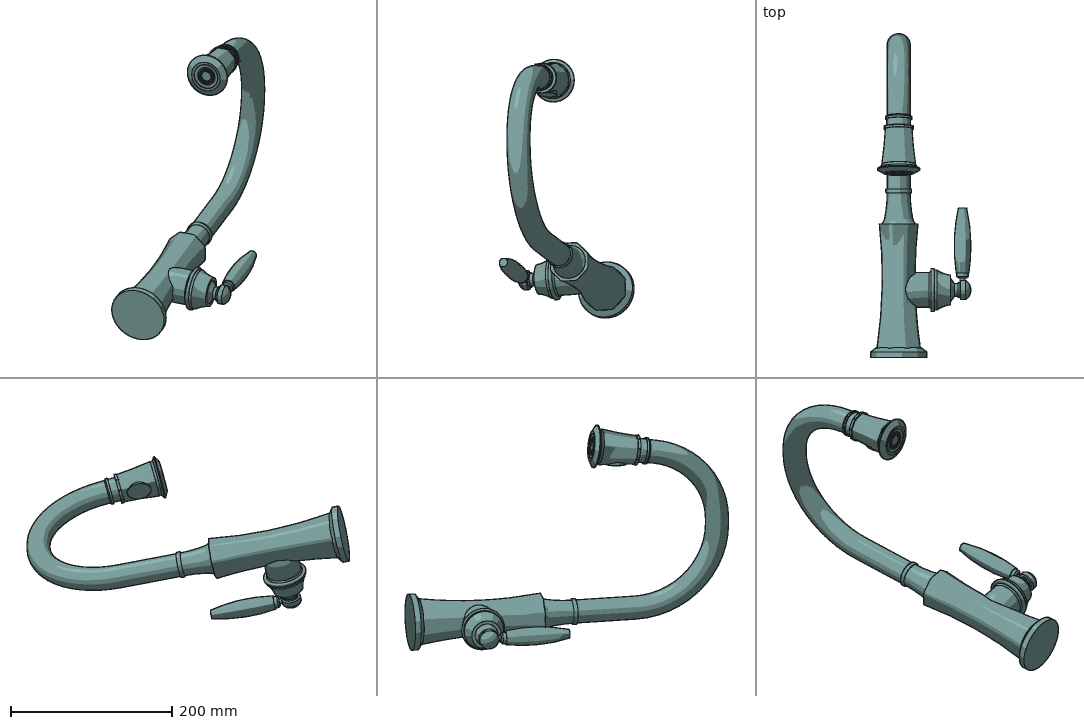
import cadquery as cq
import math


FACETS = 8
FACET_REACH = 80.5
EDGE_END_MARGIN = 0.5

BASE_RADIUS = 35.0
BASE_THICKNESS = 7.2
COLUMN_START = 12.5
COLUMN_END = 166.0
COLUMN_WAIST = 98.5
COLUMN_START_APOTHEM = 27.7
COLUMN_WAIST_APOTHEM = 20.5
COLUMN_END_APOTHEM = 24.0
COLUMN_EDGE_FILLET = 6.0

SHOULDER_RADIUS = 21.0
SHOULDER_STEP_RADIUS = 19.0
SHOULDER_STEP = 169
SHOULDER_END = 171.5
SHOULDER_TOP_RADIUS = 17.5
NECK_SAG = 1.0
RING_START = 204.3
RING_END = 209.5
RING_RADIUS = 16.0
RING_ROUND = 1.2

TUBE_RADIUS = 14.5
BEND_START = 284.3
LOWER_BEND_RADIUS = 103.5
UPPER_BEND_RADIUS = 94.5
RISE_LENGTH = 7.2
TAIL_LENGTH = 7.5
HEAD_TILT = 9

COLLAR_START = 1.5
COLLAR_END = 4.5
COLLAR_RADIUS = 16.5
SLEEVE_RADIUS = 15.0
HEAD_RING_START = 13.5
HEAD_RING_END = 17.0
HEAD_RING_RADIUS = 18.5
HEAD_END = 61.0
HEAD_COVE_APOTHEM = 17.5
HEAD_COVE_END = 21.0
HEAD_START_APOTHEM = 16.5
HEAD_MID_APOTHEM = 18.0
HEAD_END_APOTHEM = 21.0
HEAD_EDGE_FILLET = 1.2
RIM_STEP_RADIUS = 22.5
RIM_STEP = 64.5
RIM_RADIUS = 26.5
RIM_POSITION = 68.0
RIM_THICKNESS = 1.2
FACE_RADIUS = 19.0
FACE_POSITION = 72.5
FACE_RECESS_RADIUS = 15.5
FACE_RECESS_DEPTH = 1.0
FACE_GROOVE_RADII = (6.5, 9.2)
FACE_GROOVE_WIDTH = 2.0
FACE_GROOVE_DEPTH = 1.5

BUTTON_CENTER = 38.0
BUTTON_LENGTH = 30.0
BUTTON_WIDTH = 21.7
BUTTON_HEIGHT = 19.5
BUTTON_DEPTH = 10.0
BUTTON_SLOPE = 6.5

VALVE_Y = 84.0
BARREL_RADIUS = 21.7
BARREL_START = 8
BARREL_START_RADIUS = 20
BARREL_TAPER_END = 17.3
BARREL_FLARE_START = 37.5
BARREL_FLARE_RADIUS = 23.0
FLANGE_START = 40.0
FLANGE_END = 44.2
FLANGE_RADIUS = 27.0
FLANGE_ROUND = 1.5
STEP_END = 47.5
STEP_RADIUS = 25.0
BONNET_END = 64.5
BONNET_RADIUS = 18.5
BONNET_SAG = 1.2
CAP_RADIUS = 14.5
CAP_END = 69.0
STEM_RADIUS = 8
STEM_END = 73.5
KNOB_LIP_RADIUS = 9.2
KNOB_LIP_END = 76.0
KNOB_RADIUS = 12
KNOB_START = 77.0
KNOB_END = 83.0
KNOB_TIP = 89.5

LEVER_X = 79.2
LEVER_STEM_RADIUS = 3.2
LEVER_COLLAR_START = 99.0
LEVER_COLLAR_CHAMFER = 2.0
LEVER_COLLAR_RADIUS = 7.2
GRIP_START = 105.5
GRIP_WIDEST = 140.7
GRIP_END = 185.8
GRIP_START_APOTHEM = 8
GRIP_WIDEST_APOTHEM = 10.5
GRIP_END_APOTHEM = 5.2
GRIP_EDGE_FILLET = 1.5


def faceted_bar(start, middle, end, edge_fillet=0):
    """Octagonal bar along Y with bowed facets; each argument is an (apothem, Y) pair."""
    bar = None
    for pair in range(FACETS // 2):
        slab = (
            cq.Workplane("XY")
            .moveTo(*start)
            .threePointArc(middle, end)
            .lineTo(-end[0], end[1])
            .threePointArc((-middle[0], middle[1]), (-start[0], start[1]))
            .close()
            .extrude(FACET_REACH, both=True)
            .rotate((0, 0, 0), (0, 1, 0), pair * 360 / FACETS)
        )
        bar = slab if bar is None else bar.intersect(slab)
    if edge_fillet:
        lengthwise = cq.selectors.BoxSelector(
            (-FACET_REACH, start[1] + EDGE_END_MARGIN, -FACET_REACH),
            (FACET_REACH, end[1] - EDGE_END_MARGIN, FACET_REACH),
        )
        bar = bar.edges(lengthwise).fillet(edge_fillet)
    return bar


def disc(radius, start, end):
    """Cylinder about the Y axis."""
    return cq.Workplane("XZ", origin=(0, start, 0)).circle(radius).extrude(start - end)


def turned(profile):
    """Solid of revolution about the Y axis."""
    return profile.close().revolve(360, (0, 0, 0), (0, 1, 0))


def make_column():
    base = turned(
        cq.Workplane("XY")
        .lineTo(BASE_RADIUS, 0)
        .lineTo(BASE_RADIUS, BASE_THICKNESS)
        .lineTo(COLUMN_START_APOTHEM, COLUMN_START)
        .lineTo(0, COLUMN_START)
    )
    column = faceted_bar(
        (COLUMN_START_APOTHEM, BASE_THICKNESS),
        (COLUMN_WAIST_APOTHEM, COLUMN_WAIST),
        (COLUMN_END_APOTHEM, COLUMN_END),
        COLUMN_EDGE_FILLET,
    )
    return base.union(column)


def make_neck():
    taper_middle = (SHOULDER_END + RING_START) / 2
    taper_radius = (SHOULDER_TOP_RADIUS + TUBE_RADIUS) / 2 - NECK_SAG
    neck = turned(
        cq.Workplane("XY")
        .moveTo(0, COLUMN_END)
        .lineTo(SHOULDER_RADIUS, COLUMN_END)
        .lineTo(SHOULDER_STEP_RADIUS, SHOULDER_STEP)
        .lineTo(SHOULDER_TOP_RADIUS, SHOULDER_END)
        .threePointArc((taper_radius, taper_middle), (TUBE_RADIUS, RING_START))
        .lineTo(TUBE_RADIUS, RING_END)
        .lineTo(0, RING_END)
    )
    return neck.union(disc(RING_RADIUS, RING_START, RING_END).edges().fillet(RING_ROUND))


def make_spout():
    """Tube along a straight run, a quarter bend, a short rise, a tighter bend and the tilted tail."""
    tilt = math.radians(HEAD_TILT)
    crest_y = BEND_START + LOWER_BEND_RADIUS
    diagonal = math.sqrt(0.5)
    bend_middle = (BEND_START + LOWER_BEND_RADIUS * diagonal, LOWER_BEND_RADIUS * (1 - diagonal))
    bend_end_y, bend_end_z = upper_bend_end()
    path = (
        cq.Workplane("YZ")
        .moveTo(RING_START, 0)
        .lineTo(BEND_START, 0)
        .threePointArc(bend_middle, (crest_y, LOWER_BEND_RADIUS))
        .line(0, RISE_LENGTH)
        .tangentArcPoint((bend_end_y, bend_end_z), relative=False)
        .line(-TAIL_LENGTH * math.cos(tilt), TAIL_LENGTH * math.sin(tilt))
    )
    return cq.Workplane("XZ", origin=(0, RING_START, 0)).circle(TUBE_RADIUS).sweep(path)


def upper_bend_end():
    """Y and Z where the upper bend stops, HEAD_TILT short of pointing along -Y."""
    tilt = math.radians(HEAD_TILT)
    center_y = BEND_START + LOWER_BEND_RADIUS - UPPER_BEND_RADIUS
    center_z = LOWER_BEND_RADIUS + RISE_LENGTH
    return center_y + UPPER_BEND_RADIUS * math.sin(tilt), center_z + UPPER_BEND_RADIUS * math.cos(tilt)


def place_on_spout(solid):
    """Move a solid built about +Y onto the tilted axis at the end of the spout tail."""
    bend_end_y, bend_end_z = upper_bend_end()
    return (
        solid.translate((0, TAIL_LENGTH, 0))
        .rotate((0, 0, 0), (1, 0, 0), 180 - HEAD_TILT)
        .translate((0, bend_end_y, bend_end_z))
    )


def make_button():
    button = (
        cq.Workplane("XY")
        .ellipse(BUTTON_WIDTH / 2, BUTTON_LENGTH / 2)
        .extrude(-BUTTON_DEPTH)
    )
    return button.rotate((0, 0, 0), (1, 0, 0), BUTTON_SLOPE).translate((0, BUTTON_CENTER, BUTTON_HEIGHT))


def make_spray_head():
    head = disc(SLEEVE_RADIUS, 0, HEAD_RING_START)
    head = head.union(disc(COLLAR_RADIUS, COLLAR_START, COLLAR_END))
    head = head.union(disc(HEAD_RING_RADIUS, HEAD_RING_START, HEAD_RING_END))
    head = head.union(
        faceted_bar(
            (HEAD_COVE_APOTHEM, HEAD_RING_START),
            (HEAD_START_APOTHEM, (HEAD_RING_END + HEAD_COVE_END) / 2),
            (HEAD_START_APOTHEM, HEAD_COVE_END),
        )
    )
    head = head.union(
        faceted_bar(
            (HEAD_START_APOTHEM, HEAD_RING_START),
            (HEAD_MID_APOTHEM, (HEAD_RING_START + HEAD_END) / 2),
            (HEAD_END_APOTHEM, HEAD_END),
            HEAD_EDGE_FILLET,
        )
    )
    mouth = turned(
        cq.Workplane("XY")
        .moveTo(0, HEAD_END)
        .lineTo(HEAD_END_APOTHEM, HEAD_END)
        .lineTo(RIM_STEP_RADIUS, RIM_STEP)
        .lineTo(RIM_RADIUS, RIM_POSITION - RIM_THICKNESS)
        .lineTo(RIM_RADIUS, RIM_POSITION)
        .lineTo(FACE_RADIUS, FACE_POSITION)
        .lineTo(0, FACE_POSITION)
    )
    floor = FACE_POSITION - FACE_RECESS_DEPTH
    mouth = mouth.cut(disc(FACE_RECESS_RADIUS, floor, FACE_POSITION))
    for radius in FACE_GROOVE_RADII:
        groove = disc(radius + FACE_GROOVE_WIDTH, floor - FACE_GROOVE_DEPTH, floor)
        mouth = mouth.cut(groove.cut(disc(radius, 0, floor)))
    return place_on_spout(head.union(mouth).union(make_button()))


def aim_along_x(solid):
    """Turn a solid built about +Y onto the valve axis."""
    return solid.rotate((0, 0, 0), (0, 0, 1), -90).translate((0, VALVE_Y, 0))


def make_valve():
    bonnet_middle = ((STEP_RADIUS + BONNET_RADIUS) / 2 - BONNET_SAG, (STEP_END + BONNET_END) / 2)
    dome_height = KNOB_TIP - KNOB_END
    dome_radius = (KNOB_RADIUS**2 + dome_height**2) / (2 * dome_height)
    valve = turned(
        cq.Workplane("XY")
        .moveTo(0, BARREL_START)
        .lineTo(BARREL_START_RADIUS, BARREL_START)
        .lineTo(BARREL_RADIUS, BARREL_TAPER_END)
        .lineTo(BARREL_RADIUS, BARREL_FLARE_START)
        .lineTo(BARREL_FLARE_RADIUS, FLANGE_START)
        .lineTo(STEP_RADIUS, FLANGE_START)
        .lineTo(STEP_RADIUS, STEP_END)
        .threePointArc(bonnet_middle, (BONNET_RADIUS, BONNET_END))
        .lineTo(CAP_RADIUS, BONNET_END)
        .lineTo(STEM_RADIUS, CAP_END)
        .lineTo(STEM_RADIUS, STEM_END)
        .lineTo(KNOB_LIP_RADIUS, STEM_END)
        .lineTo(KNOB_LIP_RADIUS, KNOB_LIP_END)
        .lineTo(KNOB_RADIUS, KNOB_START)
        .lineTo(KNOB_RADIUS, KNOB_END)
        .radiusArc((0, KNOB_TIP), -dome_radius)
    )
    flange = disc(FLANGE_RADIUS, FLANGE_START, FLANGE_END).edges().fillet(FLANGE_ROUND)
    return aim_along_x(valve.union(flange))


def make_lever():
    lever = disc(LEVER_STEM_RADIUS, VALVE_Y, LEVER_COLLAR_START)
    collar = disc(LEVER_COLLAR_RADIUS, LEVER_COLLAR_START, GRIP_START)
    lever = lever.union(collar.faces("<Y").chamfer(LEVER_COLLAR_CHAMFER))
    grip = faceted_bar(
        (GRIP_START_APOTHEM, GRIP_START),
        (GRIP_WIDEST_APOTHEM, GRIP_WIDEST),
        (GRIP_END_APOTHEM, GRIP_END),
        GRIP_EDGE_FILLET,
    )
    return lever.union(grip).translate((LEVER_X, 0, 0))


result = (
    make_column()
    .union(make_neck())
    .union(make_spout())
    .union(make_spray_head())
    .union(make_valve())
    .union(make_lever())
)